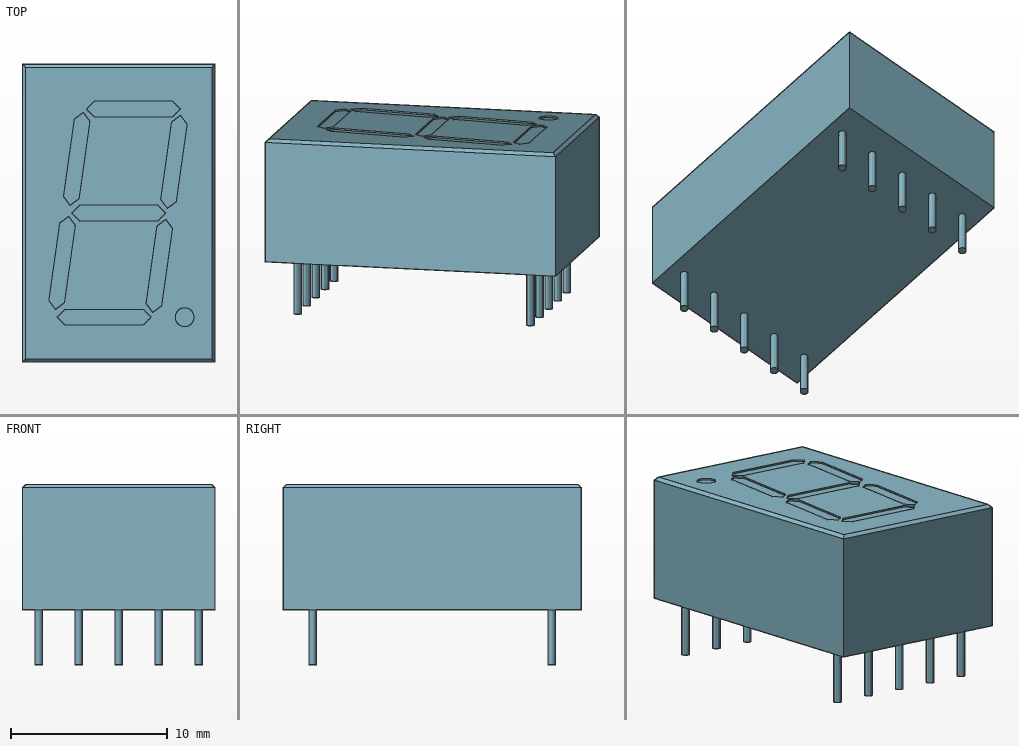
import cadquery as cq
import math


width = 12.3
depth = 19.0
overall_height = 11.5
pin_length = 3.5
body_height = overall_height - pin_length
top_chamfer = 0.2

pin_diameter = 0.5
pin_pitch = 2.55
row_spacing = 15.24
pins_per_row = 5

segment_length = 5.98
segment_width = 1.0
recess_depth = 0.1
slant_angle = 8.0
bar_spacing = 6.63
bar_shift = bar_spacing * math.tan(math.radians(slant_angle))
upper_left_center = (-2.68, 3.45)
upper_right_center = (3.52, 3.27)

dot_diameter = 1.2
dot_x = 4.2


def segment(center, angle):
    """Cutter for one pointed segment; the angle turns it from the X axis."""
    half_length = segment_length / 2
    half_width = segment_width / 2
    shoulder = half_length - half_width
    outline = [
        (-half_length, 0),
        (-shoulder, half_width),
        (shoulder, half_width),
        (half_length, 0),
        (shoulder, -half_width),
        (-shoulder, -half_width),
    ]
    cutter = cq.Workplane("XY").polyline(outline).close().extrude(recess_depth)
    cutter = cutter.rotate((0, 0, 0), (0, 0, 1), angle)
    return cutter.translate((center[0], center[1], body_height - recess_depth))


def make_housing():
    block = cq.Workplane("XY").box(width, depth, body_height, centered=(True, True, False))
    return block.faces(">Z").chamfer(top_chamfer)


def cut_digit(body):
    for row in (1, 0, -1):
        body = body.cut(segment((row * bar_shift, row * bar_spacing), 0))
    for x, y in (upper_left_center, upper_right_center):
        for step in (0, 1):
            center = (x - step * bar_shift, y - step * bar_spacing)
            body = body.cut(segment(center, 90 - slant_angle))
    return body


def cut_decimal_point(body):
    dot = (
        cq.Workplane("XY", origin=(dot_x, -bar_spacing, body_height))
        .circle(dot_diameter / 2)
        .extrude(-recess_depth)
    )
    return body.cut(dot)


def make_pins():
    return (
        cq.Workplane("XY")
        .rarray(pin_pitch, row_spacing, pins_per_row, 2)
        .circle(pin_diameter / 2)
        .extrude(-pin_length)
    )


housing = cut_decimal_point(cut_digit(make_housing()))
result = housing.union(make_pins())